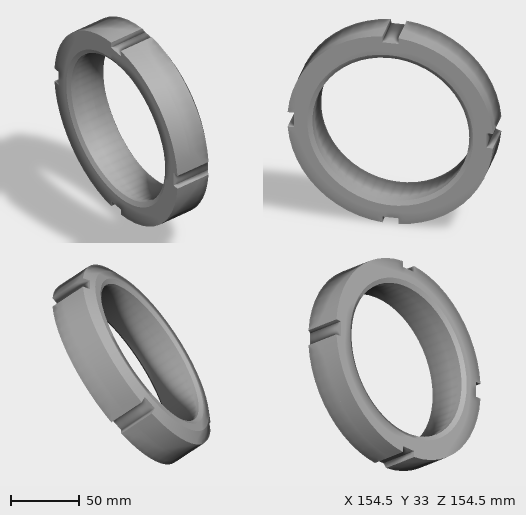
import cadquery as cq
import math

outer_diameter = 155.0
bore_diameter = 118.0
thickness = 33.0

rim_joint = 13.0
bore_joint = 20.0
spigot_diameter = 131.4

chamfer_angle = 60
chamfer_slope = math.tan(math.radians(chamfer_angle))
bore_chamfer_depth = 3.4
bore_chamfer_length = bore_chamfer_depth / chamfer_slope
rim_chamfer_length = 5.0
rim_chamfer_depth = rim_chamfer_length * chamfer_slope

slot_count = 4
slot_width = 12.0
slot_floor_radius = 72.5

outer_radius = outer_diameter / 2
bore_radius = bore_diameter / 2
bore_mouth_radius = bore_radius + bore_chamfer_depth
spigot_radius = spigot_diameter / 2


def revolve_about_y(profile_points):
    """Turn an (X, Y) half profile into a ring around the Y axis."""
    profile = cq.Workplane("XY").polyline(profile_points).close()
    return profile.revolve(360, (0, 0, 0), (0, 1, 0))


def cut_spanner_slots(ring):
    """Cut the spanner slots along the full length of a ring's rim."""
    slot_length = outer_radius - slot_floor_radius
    slot = cq.Workplane("XY").box(slot_length, thickness, slot_width, centered=(False, False, True))
    slot = slot.translate((slot_floor_radius, 0, 0))
    for index in range(slot_count):
        angle = index * 360 / slot_count
        ring = ring.cut(slot.rotate((0, 0, 0), (0, 1, 0), angle))
    return ring


def make_front_ring():
    """Front ring, with a chamfered bore mouth and a spigot on its rear face."""
    ring = revolve_about_y([
        (bore_mouth_radius, 0),
        (outer_radius, 0),
        (outer_radius, rim_joint),
        (spigot_radius, rim_joint),
        (spigot_radius, bore_joint),
        (bore_radius, bore_joint),
        (bore_radius, bore_chamfer_length),
    ])
    return cut_spanner_slots(ring)


def make_rear_ring():
    """Rear ring, with a recess for the spigot and chamfers on the rim and the bore mouth."""
    ring = revolve_about_y([
        (bore_radius, bore_joint),
        (spigot_radius, bore_joint),
        (spigot_radius, rim_joint),
        (outer_radius, rim_joint),
        (outer_radius, thickness - rim_chamfer_length),
        (outer_radius - rim_chamfer_depth, thickness),
        (bore_mouth_radius, thickness),
        (bore_radius, thickness - bore_chamfer_length),
    ])
    return cut_spanner_slots(ring)


front_ring = make_front_ring()
rear_ring = make_rear_ring()

result = cq.Compound.makeCompound([front_ring.val(), rear_ring.val()])